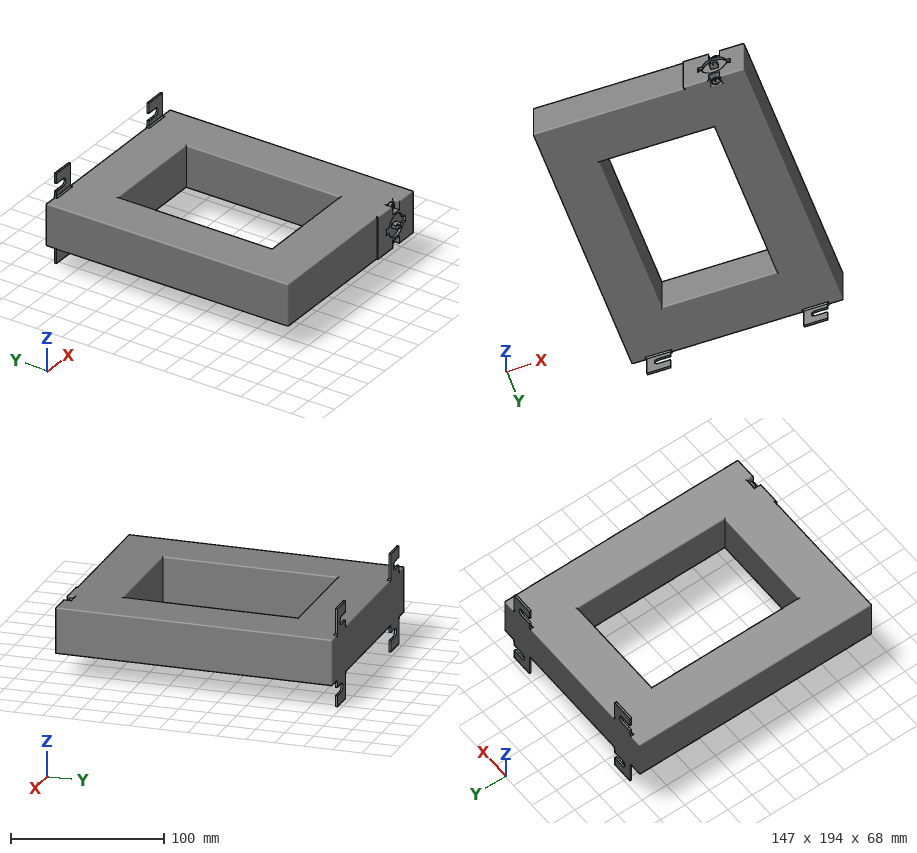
import cadquery as cq

FRAME_WIDTH = 147.0
FRAME_LENGTH = 190.1
FRAME_HEIGHT = 32.0
BACK_Y = 97.0
FRONT_Y = BACK_Y - FRAME_LENGTH
FRAME_CENTER_Y = (BACK_Y + FRONT_Y) / 2
WINDOW_WIDTH = 80.0
WINDOW_LENGTH = 120.0
EDGE_RADIUS = 1.03

PANEL_RISE = 1.0
PANEL_LEFT_X = 31.2
PANEL_FACE_Y = FRONT_Y - PANEL_RISE
PANEL_DEPTH = 5.8

TERMINAL_X = 52.5
RECESS_RADIUS = 8.5
RECESS_DEPTH = 2.0
TAB_SPAN = 22.5
TAB_HEIGHT = 4.5

PIN_TIP_Y = -97.0
PIN_WIDTH = 5.2
PIN_HEIGHT = 2.7
PIN_TIP_BEVEL = 1.4
PIN_HOLE_DIAMETER = 0.8
PIN_HOLE_SETBACK = 1.5

NOTCH_WIDTH = 7.5
NOTCH_HEIGHT = 6.0
NOTCH_DEPTH = 5.0
NOTCH_CENTER_Z = (FRAME_HEIGHT - NOTCH_HEIGHT) / 2
SCREW_DIAMETER = 5.6
SCREW_HEAD_HEIGHT = 2.3
SCREW_RIM_RADIUS = 0.8
CROSS_SLOT_WIDTH = 0.8
CROSS_SLOT_LENGTH = 3.9
CROSS_SLOT_DEPTH = 1.2

LUG_X = 54.5
LUG_WIDTH = 16.5
LUG_THICKNESS = 1.45
OVERALL_HEIGHT = 68.0
LUG_TIP_Z = OVERALL_HEIGHT / 2
LUG_SLOT_Z = 23.5
LUG_SLOT_WIDTH = 5.8
LUG_ROOT_OVERLAP = 3.9
FOOT_FLARE = 1.0

SIDES = (-1, 1)


def box(x_range, y_range, z_range):
    """Axis-aligned box between the given (low, high) pairs."""
    corner = (x_range[0], y_range[0], z_range[0])
    size = [high - low for low, high in (x_range, y_range, z_range)]
    return cq.Workplane("XY").box(*size, centered=False).translate(corner)


def centered(middle, size):
    """(low, high) pair for a span of the given size."""
    return middle - size / 2, middle + size / 2


def make_frame():
    height = centered(0, FRAME_HEIGHT)
    right_x = FRAME_WIDTH / 2
    block = box((-right_x, right_x), (FRONT_Y, BACK_Y), height)
    panel = box((PANEL_LEFT_X, right_x), (PANEL_FACE_Y, FRONT_Y + PANEL_DEPTH), height)
    window = box(
        centered(0, WINDOW_WIDTH),
        centered(FRAME_CENTER_Y, WINDOW_LENGTH),
        height,
    )
    notches = [
        box(
            centered(TERMINAL_X, NOTCH_WIDTH),
            (PANEL_FACE_Y, PANEL_FACE_Y + NOTCH_DEPTH),
            centered(side * NOTCH_CENTER_Z, NOTCH_HEIGHT),
        )
        for side in SIDES
    ]
    frame = block.union(panel).edges("|Z").edges("<X or >X").fillet(EDGE_RADIUS)
    frame = frame.cut(window)
    for notch in notches:
        frame = frame.cut(notch)
    return frame.faces("<Z or >Z").edges().fillet(EDGE_RADIUS)


def front_cylinder(x, z, radius, y_range):
    """Cylinder along Y between the given (low, high) pair."""
    low, high = y_range
    return cq.Workplane("XZ", origin=(x, high, z)).circle(radius).extrude(high - low)


def make_recess():
    depth = (PANEL_FACE_Y, PANEL_FACE_Y + RECESS_DEPTH)
    tabs = box(centered(TERMINAL_X, TAB_SPAN), depth, centered(0, TAB_HEIGHT))
    return front_cylinder(TERMINAL_X, 0, RECESS_RADIUS, depth).union(tabs)


def make_pin():
    root_y = PANEL_FACE_Y + RECESS_DEPTH
    pin = box(centered(TERMINAL_X, PIN_WIDTH), (PIN_TIP_Y, root_y), centered(0, PIN_HEIGHT))
    pin = pin.faces("<Y").edges("|Z").chamfer(PIN_TIP_BEVEL)
    hole = (
        cq.Workplane("XY", origin=(TERMINAL_X, PIN_TIP_Y + PIN_HOLE_SETBACK, 0))
        .circle(PIN_HOLE_DIAMETER / 2)
        .extrude(PIN_HEIGHT, both=True)
    )
    return pin.cut(hole)


def make_screw(side):
    z = side * NOTCH_CENTER_Z
    seat_y = PANEL_FACE_Y + NOTCH_DEPTH
    face_y = seat_y - SCREW_HEAD_HEIGHT
    head = front_cylinder(TERMINAL_X, z, SCREW_DIAMETER / 2, (face_y, seat_y))
    head = head.faces("<Y").edges().fillet(SCREW_RIM_RADIUS)
    slot_depth = (face_y, face_y + CROSS_SLOT_DEPTH)
    for width, height in (
        (CROSS_SLOT_LENGTH, CROSS_SLOT_WIDTH),
        (CROSS_SLOT_WIDTH, CROSS_SLOT_LENGTH),
    ):
        head = head.cut(box(centered(TERMINAL_X, width), slot_depth, centered(z, height)))
    return head


def make_upper_lug(x):
    """Lug above the frame, its slot open toward -X, with a flared foot."""
    root_z = FRAME_HEIGHT / 2 - LUG_ROOT_OVERLAP
    front_y = BACK_Y - LUG_THICKNESS
    plate = box(centered(x, LUG_WIDTH), (front_y, BACK_Y), (root_z, LUG_TIP_Z))
    foot = box(
        centered(x, LUG_WIDTH + 2 * FOOT_FLARE),
        (front_y - FOOT_FLARE, BACK_Y),
        (root_z, FRAME_HEIGHT / 2 + FOOT_FLARE),
    )
    foot = foot.faces(">Z").edges("<X or >X or <Y").chamfer(FOOT_FLARE)
    slot_end = front_cylinder(x, LUG_SLOT_Z, LUG_SLOT_WIDTH / 2, (front_y, BACK_Y))
    slot = box(
        (x - LUG_WIDTH / 2, x),
        (front_y, BACK_Y),
        centered(LUG_SLOT_Z, LUG_SLOT_WIDTH),
    )
    return plate.cut(slot).cut(slot_end).union(foot)


result = make_frame().cut(make_recess()).union(make_pin())
for side in SIDES:
    upper_lug = make_upper_lug(side * LUG_X)
    lower_lug = make_upper_lug(-side * LUG_X).rotate((0, 0, 0), (0, 1, 0), 180)
    result = result.union(upper_lug).union(lower_lug).union(make_screw(side))